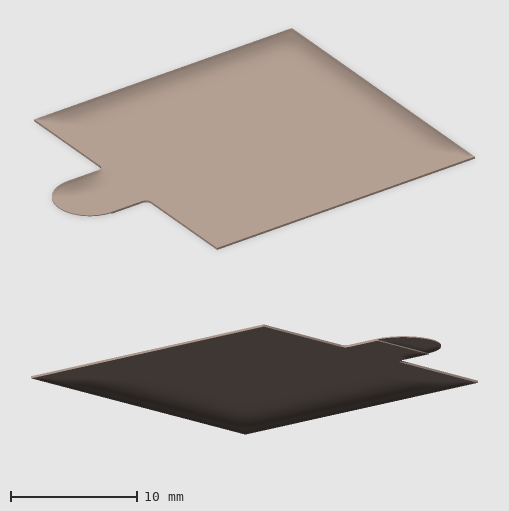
import cadquery as cq

plate_side = 25.0
overall_length = 31.5
thickness = 0.18
tab_width = 6.02
tip_thickness = 0.088
root_fillet = 0.5

tab_radius = tab_width / 2
tab_length = overall_length - plate_side
root_y = -plate_side / 2
round_start_y = root_y - tab_length + tab_radius


def make_plate():
    """Square sheet centred on the origin, resting on Z = 0."""
    return cq.Workplane("XY").rect(plate_side, plate_side).extrude(thickness)


def make_tab_neck():
    """Straight, full-thickness part of the pull tab on the -Y side of the sheet."""
    return (
        cq.Workplane("XY")
        .moveTo(-tab_radius, root_y)
        .lineTo(-tab_radius, round_start_y)
        .lineTo(tab_radius, round_start_y)
        .lineTo(tab_radius, root_y)
        .close()
        .extrude(thickness)
    )


def make_tab_tip():
    """Thinner half-round end of the tab, flush with the top face."""
    return (
        cq.Workplane("XY", origin=(0, 0, thickness - tip_thickness))
        .moveTo(-tab_radius, round_start_y)
        .threePointArc((0, round_start_y - tab_radius), (tab_radius, round_start_y))
        .close()
        .extrude(tip_thickness)
    )


def round_tab_root(body):
    """Fillet the two inside corners where the tab meets the sheet."""
    corner_margin = 0.03
    corner_finder = cq.selectors.BoxSelector(
        (-tab_radius - corner_margin, root_y - corner_margin, 0),
        (tab_radius + corner_margin, root_y + corner_margin, thickness),
    )
    return body.edges("|Z").edges(corner_finder).fillet(root_fillet)


sheet_with_neck = round_tab_root(make_plate().union(make_tab_neck()))
result = sheet_with_neck.union(make_tab_tip())